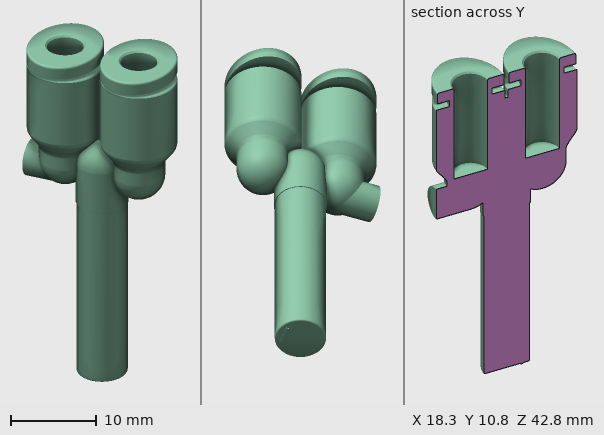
import cadquery as cq
import math

STEM_DIAMETER = 6.0
STEM_BOTTOM_Z = 0.12
STEM_ROUNDING = 0.2
COLLAR_DIAMETER = 6.2
COLLAR_BOTTOM_Z = 23.0
COLLAR_DOME_Z = 28.2

END_BAR_OFFSET = 2.0
END_BAR_WIDTH = 0.35
END_BAR_LENGTH = 2.2

SOCKET_PITCH = 9.3
SOCKET_DIAMETER = 9.0
SOCKET_TOP_Z = 40.4
SOCKET_CHAMFER = 0.1
CONE_TOP_Z = 31.55
CONE_BOTTOM_Z = 29.7
SHOULDER_ROUNDING = 1.0
NECK_DIAMETER = 6.2
NECK_DOME_Z = 27.65

SLEEVE_DIAMETER = 5.6
FLANGE_WIDTH = 8.7
FLANGE_LENGTH = 10.8
FLANGE_THICKNESS = 1.6
FLANGE_TOP_Z = 42.8
FLANGE_ROUNDING = 0.25
BORE_DIAMETER = 4.3
BORE_CHAMFER = 0.2
BORE_FLOOR_Z = CONE_BOTTOM_Z

WEB_THICKNESS = 1.0
WEB_TOP_Z = 39.3

STUB_DIAMETER = 4.4

SOCKET_X = SOCKET_PITCH / 2
FLANGE_BOTTOM_Z = FLANGE_TOP_Z - FLANGE_THICKNESS
OUTER_X = SOCKET_X + SOCKET_DIAMETER / 2
NECK_BOTTOM_Z = NECK_DOME_Z - NECK_DIAMETER / 2
STUB_Z = NECK_BOTTOM_Z + STUB_DIAMETER / 2


def cylinder(diameter, bottom_z, top_z, x=0.0):
    """Upright cylinder between two heights."""
    return cq.Workplane("XY", origin=(x, 0, bottom_z)).circle(diameter / 2).extrude(top_z - bottom_z)


def make_stem():
    """Tube with a rounded tip, a bar on its end face, and a domed collar."""
    tube = cylinder(STEM_DIAMETER, STEM_BOTTOM_Z, COLLAR_BOTTOM_Z)
    tube = tube.faces("<Z").edges().fillet(STEM_ROUNDING)
    end_bar = cq.Workplane("XY", origin=(END_BAR_OFFSET, 0, 0)).box(
        END_BAR_WIDTH, END_BAR_LENGTH, STEM_BOTTOM_Z, centered=(True, True, False)
    )
    collar = cylinder(COLLAR_DIAMETER, COLLAR_BOTTOM_Z, COLLAR_DOME_Z)
    dome = cq.Workplane("XY", origin=(0, 0, COLLAR_DOME_Z)).sphere(COLLAR_DIAMETER / 2)
    return tube.union(end_bar).union(collar).union(dome)


def make_socket(x):
    """Revolved socket: round-ended neck, cone with rounded shoulders, straight body."""
    neck_radius = NECK_DIAMETER / 2
    body_radius = SOCKET_DIAMETER / 2
    dome_reach = neck_radius * math.sqrt(0.5)
    upper = (
        cq.Workplane("XZ")
        .moveTo(0, NECK_DOME_Z)
        .lineTo(neck_radius, NECK_DOME_Z)
        .lineTo(neck_radius, CONE_BOTTOM_Z)
        .lineTo(body_radius, CONE_TOP_Z)
        .lineTo(body_radius, SOCKET_TOP_Z)
        .lineTo(0, SOCKET_TOP_Z)
        .close()
        .revolve(360, (0, 0), (0, 1))
    )
    cone_ends = cq.selectors.BoxSelector(
        (-body_radius, -body_radius, CONE_BOTTOM_Z - SHOULDER_ROUNDING / 2),
        (body_radius, body_radius, CONE_TOP_Z + SHOULDER_ROUNDING / 2),
    )
    upper = upper.edges("%CIRCLE").edges(cone_ends).fillet(SHOULDER_ROUNDING)
    upper = upper.faces(">Z").chamfer(SOCKET_CHAMFER)
    dome = (
        cq.Workplane("XZ")
        .moveTo(0, NECK_DOME_Z)
        .lineTo(neck_radius, NECK_DOME_Z)
        .threePointArc((dome_reach, NECK_DOME_Z - dome_reach), (0, NECK_BOTTOM_Z))
        .close()
        .revolve(360, (0, 0), (0, 1))
    )
    return upper.union(dome).translate((x, 0, 0))


def make_sleeve(x):
    """Round sleeve neck under an oval flange."""
    neck = cylinder(SLEEVE_DIAMETER, SOCKET_TOP_Z, FLANGE_BOTTOM_Z, x)
    flange = (
        cq.Workplane("XY", origin=(x, 0, FLANGE_BOTTOM_Z))
        .ellipse(FLANGE_WIDTH / 2, FLANGE_LENGTH / 2)
        .extrude(FLANGE_THICKNESS)
        .faces(">Z")
        .edges()
        .fillet(FLANGE_ROUNDING)
    )
    return neck.union(flange)


def make_bore(x):
    """Revolved blind tube bore with a chamfered mouth."""
    bore_radius = BORE_DIAMETER / 2
    profile = (
        cq.Workplane("XZ")
        .moveTo(0, BORE_FLOOR_Z)
        .lineTo(bore_radius, BORE_FLOOR_Z)
        .lineTo(bore_radius, FLANGE_TOP_Z - BORE_CHAMFER)
        .lineTo(bore_radius + BORE_CHAMFER, FLANGE_TOP_Z)
        .lineTo(0, FLANGE_TOP_Z)
        .close()
    )
    return profile.revolve(360, (0, 0), (0, 1)).translate((x, 0, 0))


def make_web():
    """Flat wall between the socket axes, above the collar's dome centre."""
    height = WEB_TOP_Z - COLLAR_DOME_Z
    return cq.Workplane("XY", origin=(0, 0, COLLAR_DOME_Z)).box(
        SOCKET_PITCH, WEB_THICKNESS, height, centered=(True, True, False)
    )


def make_stub():
    """Horizontal stub from the -X socket's axis to the part's -X side."""
    length = OUTER_X - SOCKET_X
    return cq.Workplane("YZ", origin=(-OUTER_X, 0, STUB_Z)).circle(STUB_DIAMETER / 2).extrude(length)


result = make_stem().union(make_web()).union(make_stub())
for socket_x in (-SOCKET_X, SOCKET_X):
    result = result.union(make_socket(socket_x)).union(make_sleeve(socket_x))
for socket_x in (-SOCKET_X, SOCKET_X):
    result = result.cut(make_bore(socket_x))